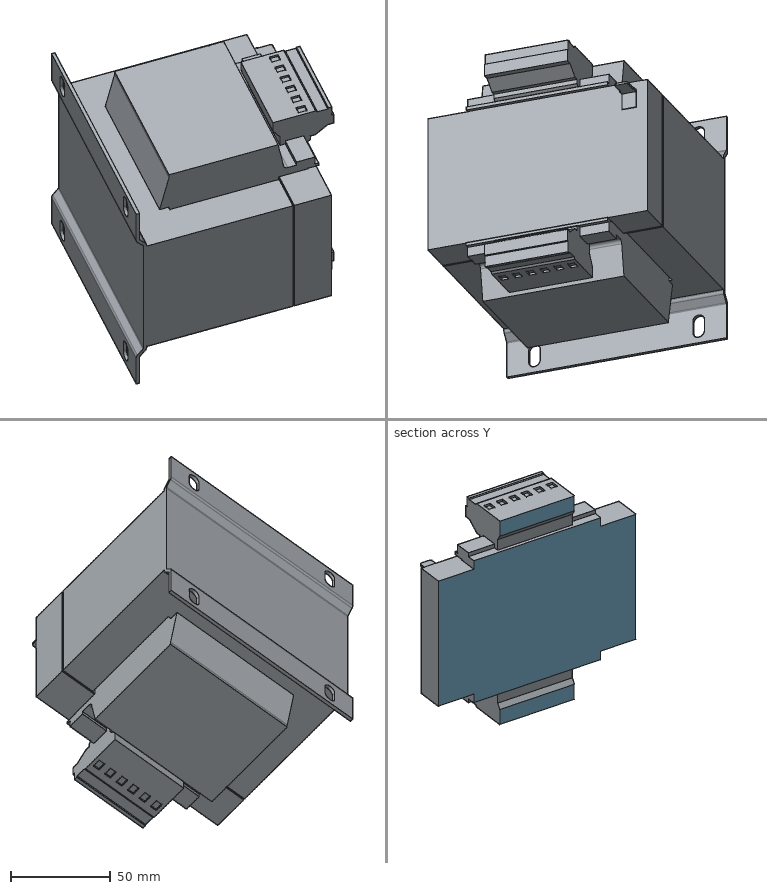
import cadquery as cq
import math


width = 120.0
height = 124.0
sheet = 1.9
flange_offset = 3.8
web_bend_z = 37.6
flange_bend_z = 42.0
inner_bend_radius = 0.7
slot_width = 6.3
slot_length = 12.3
slot_pitch_x = 89.8
slot_pitch_z = 105.4

core_front = flange_offset + sheet
core_rear = 105.5
core_height = 73.4
core_top = core_height / 2
seam_y = 85.1
seam_width = 0.6
seam_depth = 0.4
window_front = 25.7
window_half_width = 40.3

coil_width = 77.1
coil_top = 60.3
coil_foot_front = 20.8
coil_top_front = 25.9
coil_top_rear = 84.8
coil_rim = 2.0
neck_y = 88.2
neck_z = 41.7
neck_fillet = 2.2
rail_front = 94.7
rail_rear = 104.7
rail_top = 43.9
lip_front = 100.9
lip_rear = 106.8
lip_top = 38.8
lip_gap = 0.4

terminal_count = 6
terminal_pitch = 7.6
terminal_top = 59.6
terminal_rear = 121.0
terminal_front = 88.0
terminal_face_bottom = 53.6
leg_front = 91.9
leg_slope_bottom = 47.9
hook_y = 107.0
hook_rear = 108.4
hook_chamfer_top = 39.9
ledge_y = 110.9
ledge_z = 42.3
nose_y = 117.5
nose_bottom = 47.1
nose_top = 53.5
back_y = 119.9
ridge_top = 59.3
ridge_front = 118.0
groove_z = 58.7
groove_rear = 117.7
groove_front = 112.1
groove_edge = 111.1
pocket_width = 3.7
pocket_length = 4.6
pocket_y = 105.0
pocket_depth = 1.2

tab_x = -50.1
tab_foot_width = 7.8
tab_width = 7.0
tab_rear = 116.7
tab_shoulder = 108.7
tab_corner = 0.7
tab_top = 31.9
tab_thickness = 1.1
tab_foot_thickness = 0.5
tab_foot_bottom = 22.2


def extrude_across(points, span):
    """Extrude a (Y, Z) outline symmetrically along X."""
    return cq.Workplane("YZ").polyline(points).close().extrude(span / 2, both=True)


def box_between(x0, x1, y0, y1, z0, z1):
    return cq.Workplane("XY").box(x1 - x0, y1 - y0, z1 - z0, centered=False).translate((x0, y0, z0))


def on_both_ends(body):
    """Join a body with its mirror image below the XY plane."""
    return body.union(body.mirror("XY"))


def round_edge(body, y, z, radius):
    """Round the edge along X that passes through (y, z)."""
    return body.edges(cq.selectors.NearestToPointSelector((0, y, z))).fillet(radius)


def make_mounting_plate():
    slant = math.atan2(flange_offset, flange_bend_z - web_bend_z)
    shift = sheet * math.tan(slant / 2)
    front_bends = [(flange_offset, web_bend_z), (0, flange_bend_z)]
    back_bends = [(y + sheet, z + shift) for y, z in front_bends]
    half_outline = [(flange_offset, 0)] + front_bends + [(0, height / 2), (sheet, height / 2)]
    half_outline += back_bends[::-1] + [(core_front, 0)]
    plate = extrude_across(half_outline, width)
    outer_bend_radius = inner_bend_radius + sheet
    plate = round_edge(plate, *front_bends[0], inner_bend_radius)
    plate = round_edge(plate, *back_bends[0], outer_bend_radius)
    plate = round_edge(plate, *front_bends[1], outer_bend_radius)
    plate = round_edge(plate, *back_bends[1], inner_bend_radius)
    slots = (
        cq.Workplane("XZ")
        .rarray(slot_pitch_x, slot_pitch_z, 2, 2)
        .slot2D(slot_length, slot_width, 90)
        .extrude(sheet, both=True)
    )
    return on_both_ends(plate).cut(slots)


def make_core():
    core = box_between(-width / 2, width / 2, core_front, core_rear, -core_top, core_top)
    window = box_between(
        -window_half_width, window_half_width, window_front, seam_y, -core_top, core_top
    )
    seam_front = seam_y - seam_width / 2
    seam_rear = seam_y + seam_width / 2
    seam_band = box_between(-width / 2, width / 2, seam_front, seam_rear, -core_top, core_top)
    inner_x = width / 2 - seam_depth
    inner_z = core_top - seam_depth
    seam_heart = box_between(-inner_x, inner_x, seam_front, seam_rear, -inner_z, inner_z)
    return core.cut(seam_band.cut(seam_heart)).cut(window)


def make_coil():
    lip_bottom = core_top + lip_gap
    half_outline = [
        (window_front, 0),
        (window_front, core_top),
        (coil_foot_front, core_top),
        (coil_top_front, coil_top - coil_rim),
        (coil_top_front, coil_top),
        (coil_top_rear, coil_top),
        (neck_y, neck_z),
        (rail_front, neck_z),
        (rail_front, rail_top),
        (rail_rear, rail_top),
        (rail_rear, lip_top),
        (lip_rear, lip_top),
        (lip_rear, lip_bottom),
        (lip_front, lip_bottom),
        (lip_front, core_top),
        (seam_y + seam_width / 2, core_top),
        (seam_y + seam_width / 2, 0),
    ]
    half_coil = extrude_across(half_outline, coil_width)
    return on_both_ends(round_edge(half_coil, neck_y, neck_z, neck_fillet))


def make_terminal_block():
    outline = [
        (terminal_front, terminal_top),
        (terminal_front, terminal_face_bottom),
        (leg_front, leg_slope_bottom),
        (leg_front, neck_z),
        (rail_front, neck_z),
        (rail_front, rail_top),
        (rail_rear, rail_top),
        (rail_rear, lip_top),
        (hook_y, lip_top),
        (hook_rear, hook_chamfer_top),
        (hook_rear, ledge_z),
        (ledge_y, ledge_z),
        (nose_y, nose_bottom),
        (terminal_rear, nose_bottom),
        (terminal_rear, nose_top),
        (back_y, nose_top),
        (back_y, ridge_top),
        (ridge_front, ridge_top),
        (groove_rear, groove_z),
        (groove_front, groove_z),
        (groove_edge, terminal_top),
    ]
    block = extrude_across(outline, terminal_count * terminal_pitch)
    pockets = (
        cq.Workplane("XY", origin=(0, pocket_y, terminal_top))
        .rarray(terminal_pitch, 1.2, terminal_count, 1)
        .rect(pocket_width, pocket_length)
        .extrude(-pocket_depth)
    )
    return on_both_ends(block.cut(pockets))


def make_earth_tab():
    foot_x0 = tab_x - tab_foot_width / 2
    foot_x1 = tab_x + tab_foot_width / 2
    tab_bottom = tab_top - tab_thickness
    foot = box_between(
        foot_x0, foot_x1, core_rear, core_rear + tab_foot_thickness, tab_foot_bottom, tab_top
    )
    shoulder = box_between(foot_x0, foot_x1, core_rear, tab_shoulder, tab_bottom, tab_top)
    blade = box_between(
        tab_x - tab_width / 2, tab_x + tab_width / 2, core_rear, tab_rear, tab_bottom, tab_top
    )
    blade = blade.faces(">Y").edges("|Z").chamfer(tab_corner)
    return foot.union(shoulder).union(blade)


result = (
    make_core()
    .union(make_coil())
    .union(make_mounting_plate())
    .union(make_terminal_block())
    .union(make_earth_tab())
)